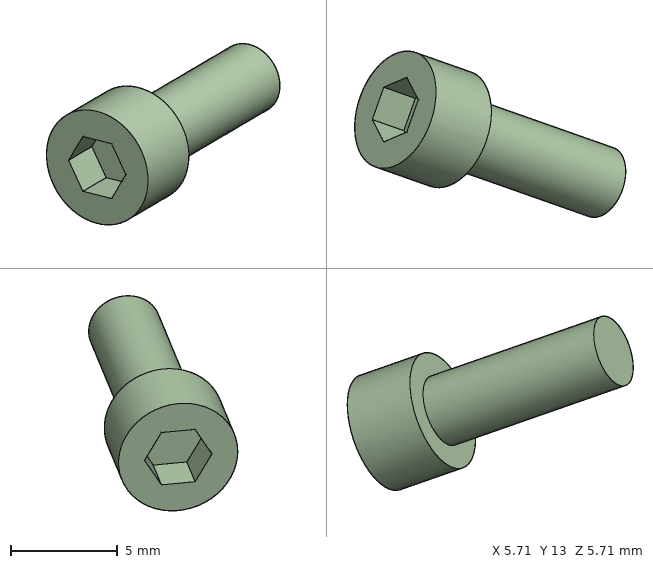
import cadquery as cq
import math

total_length = 13.03
head_diameter = 5.71
head_length = 3.5
shank_diameter = 3.44
shank_length = total_length - head_length
socket_across_flats = 2.79
socket_depth = 2.0

socket_across_corners = socket_across_flats / math.cos(math.pi / 6)

head = cq.Workplane("XZ").circle(head_diameter / 2).extrude(-head_length)

shank = (
    cq.Workplane("XZ", origin=(0, head_length, 0))
    .circle(shank_diameter / 2)
    .extrude(-shank_length)
)

socket = cq.Workplane("XZ").polygon(6, socket_across_corners).extrude(-socket_depth)

result = head.union(shank).cut(socket)